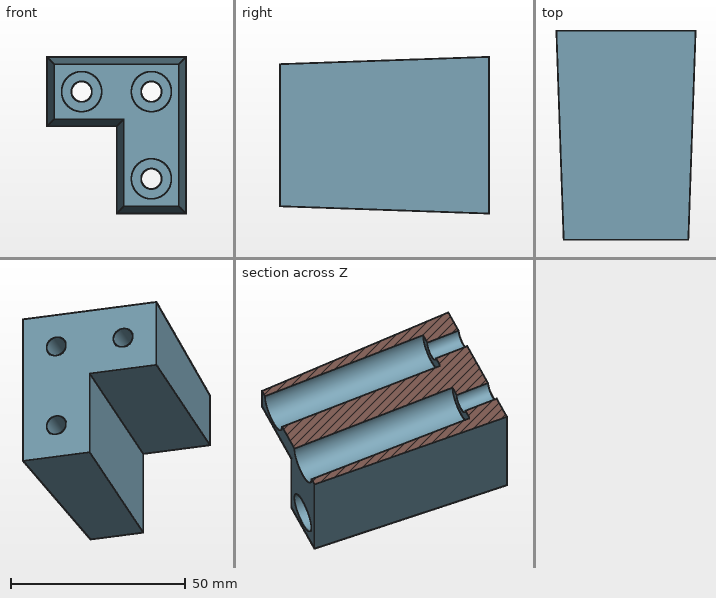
import cadquery as cq
import math

width = 40.0
height = 45.0
arm = 20.0
length = 60.0
draft_angle = 2.0

screw_diameter = 5.8
head_diameter = 11.5
seat_thickness = 10.0
leg_centre_x = width - arm / 2
leg_centre_z = height - arm / 2
edge_distance = arm / 2
hole_centres = [
    (edge_distance, leg_centre_z),
    (leg_centre_x, leg_centre_z),
    (leg_centre_x, edge_distance),
]


def l_outline(inset):
    """Corners of the L in X and Z, with every side moved inward by inset."""
    left = inset
    right = width - inset
    bottom = inset
    top = height - inset
    inner_x = width - arm + inset
    inner_z = height - arm + inset
    return [
        (left, top),
        (right, top),
        (right, bottom),
        (inner_x, bottom),
        (inner_x, inner_z),
        (left, inner_z),
    ]


def tapered_body():
    """Loft from the small front L at Y = 0 to the full L at Y = length."""
    front_inset = length * math.tan(math.radians(draft_angle))
    return (
        cq.Workplane("XZ")
        .polyline(l_outline(front_inset))
        .close()
        .workplane(offset=-length)
        .polyline(l_outline(0.0))
        .close()
        .loft(ruled=True, combine=True)
    )


def hole_cutters(diameter, depth):
    """Cylinders running in +Y from the front face, one per hole centre."""
    return (
        cq.Workplane("XZ")
        .pushPoints(hole_centres)
        .circle(diameter / 2)
        .extrude(-depth)
    )


result = (
    tapered_body()
    .cut(hole_cutters(screw_diameter, length))
    .cut(hole_cutters(head_diameter, length - seat_thickness))
)